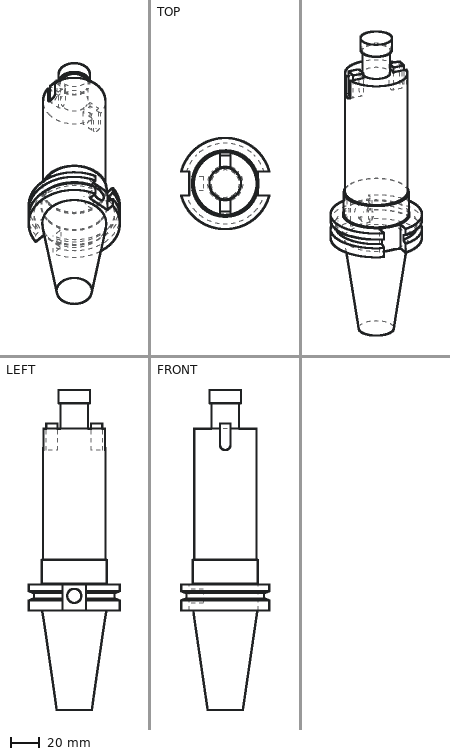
import cadquery as cq

TOTAL_LENGTH = 222.1
GAUGE_Z = 68.25
FLANGE_BOTTOM_Z = 69.1
FLANGE_TOP_Z = 87.3
COLLAR_TOP_Z = 104.5
BARREL_TOP_Z = 195.3
KEY_TOP_Z = 198.9
HEAD_HEIGHT = 9.6

TAPER_RATE = 7 / 24
GAUGE_RADIUS = 44.45 / 2
TAPER_END_RADIUS = GAUGE_RADIUS - GAUGE_Z * TAPER_RATE / 2

FLANGE_RADIUS = 63.5 / 2
GROOVE_FLOOR_RADIUS = 56.2 / 2
GROOVE_CENTRE_Z = 79.3
GROOVE_FLOOR_HEIGHT = 3.6
GROOVE_MOUTH_HEIGHT = 6.6

DRIVE_SLOT_WIDTH = 16.38
LEFT_SLOT_FLOOR = 25.0
RIGHT_SLOT_FLOOR = 22.7
SIDE_HOLE_DIAMETER = 9.8
SIDE_HOLE_DEPTH = 10.0

COLLAR_RADIUS = 45.2 / 2
COLLAR_FOOT_FLARE = 0.5
COLLAR_TOP_CHAMFER = 0.5
BARREL_RADIUS = 43.4 / 2

HEAD_RADIUS = 22.0 / 2
HEAD_CHAMFER = 0.6
NECK_RADIUS = 19.2 / 2

KEY_WIDTH = 7.5
KEY_BOTTOM_Z = 180.4
KEY_INNER_Y = 11.5
KEY_OUTER_Y = 19.5


def revolved_holder():
    """Taper, V-grooved flange, collar, barrel and pilot as one turned body."""
    groove_half_floor = GROOVE_FLOOR_HEIGHT / 2
    groove_half_mouth = GROOVE_MOUTH_HEIGHT / 2
    head_bottom_z = TOTAL_LENGTH - HEAD_HEIGHT
    outline = [
        (0, 0),
        (TAPER_END_RADIUS, 0),
        (GAUGE_RADIUS, GAUGE_Z),
        (GAUGE_RADIUS, FLANGE_BOTTOM_Z),
        (FLANGE_RADIUS, FLANGE_BOTTOM_Z),
        (FLANGE_RADIUS, GROOVE_CENTRE_Z - groove_half_mouth),
        (GROOVE_FLOOR_RADIUS, GROOVE_CENTRE_Z - groove_half_floor),
        (GROOVE_FLOOR_RADIUS, GROOVE_CENTRE_Z + groove_half_floor),
        (FLANGE_RADIUS, GROOVE_CENTRE_Z + groove_half_mouth),
        (FLANGE_RADIUS, FLANGE_TOP_Z),
        (COLLAR_RADIUS + COLLAR_FOOT_FLARE, FLANGE_TOP_Z),
        (COLLAR_RADIUS, FLANGE_TOP_Z + COLLAR_FOOT_FLARE),
        (COLLAR_RADIUS, COLLAR_TOP_Z - COLLAR_TOP_CHAMFER),
        (COLLAR_RADIUS - COLLAR_TOP_CHAMFER, COLLAR_TOP_Z),
        (BARREL_RADIUS, COLLAR_TOP_Z),
        (BARREL_RADIUS, BARREL_TOP_Z),
        (NECK_RADIUS, BARREL_TOP_Z),
        (NECK_RADIUS, head_bottom_z),
        (HEAD_RADIUS - HEAD_CHAMFER, head_bottom_z),
        (HEAD_RADIUS, head_bottom_z + HEAD_CHAMFER),
        (HEAD_RADIUS, TOTAL_LENGTH),
        (0, TOTAL_LENGTH),
    ]
    return cq.Workplane("XZ").polyline(outline).close().revolve(360, (0, 0), (0, 1))


def drive_slot(floor_distance, side):
    """Cutter for a slot across the flange rim on the +X (1) or -X (-1) side."""
    length = FLANGE_RADIUS
    height = FLANGE_TOP_Z - FLANGE_BOTTOM_Z
    return cq.Workplane("XY").box(length, DRIVE_SLOT_WIDTH, height, centered=(True, True, False)).translate(
        (side * (floor_distance + length / 2), 0, FLANGE_BOTTOM_Z)
    )


def side_hole():
    """Cutter for the blind hole in the floor of the -X drive slot."""
    return (
        cq.Workplane("YZ", origin=(-LEFT_SLOT_FLOOR, 0, GROOVE_CENTRE_Z))
        .circle(SIDE_HOLE_DIAMETER / 2)
        .extrude(SIDE_HOLE_DEPTH)
    )


def key_prism(side, outer_y, top_z):
    """Round-bottomed key shape from KEY_INNER_Y out to outer_y on the +Y (1) or -Y (-1) side."""
    half_width = KEY_WIDTH / 2
    arc_centre_z = KEY_BOTTOM_Z + half_width
    return (
        cq.Workplane("XZ", origin=(0, side * KEY_INNER_Y, 0))
        .moveTo(-half_width, top_z)
        .lineTo(-half_width, arc_centre_z)
        .threePointArc((0, KEY_BOTTOM_Z), (half_width, arc_centre_z))
        .lineTo(half_width, top_z)
        .close()
        .extrude(-side * (outer_y - KEY_INNER_Y))
    )


KEY_SIDES = (-1, 1)

holder = (
    revolved_holder()
    .cut(drive_slot(LEFT_SLOT_FLOOR, -1))
    .cut(drive_slot(RIGHT_SLOT_FLOOR, 1))
    .cut(side_hole())
)
for key_side in KEY_SIDES:
    holder = holder.cut(key_prism(key_side, COLLAR_RADIUS, BARREL_TOP_Z))

drive_keys = [key_prism(key_side, KEY_OUTER_Y, KEY_TOP_Z) for key_side in KEY_SIDES]

result = cq.Compound.makeCompound([holder.val(), *[key.val() for key in drive_keys]])